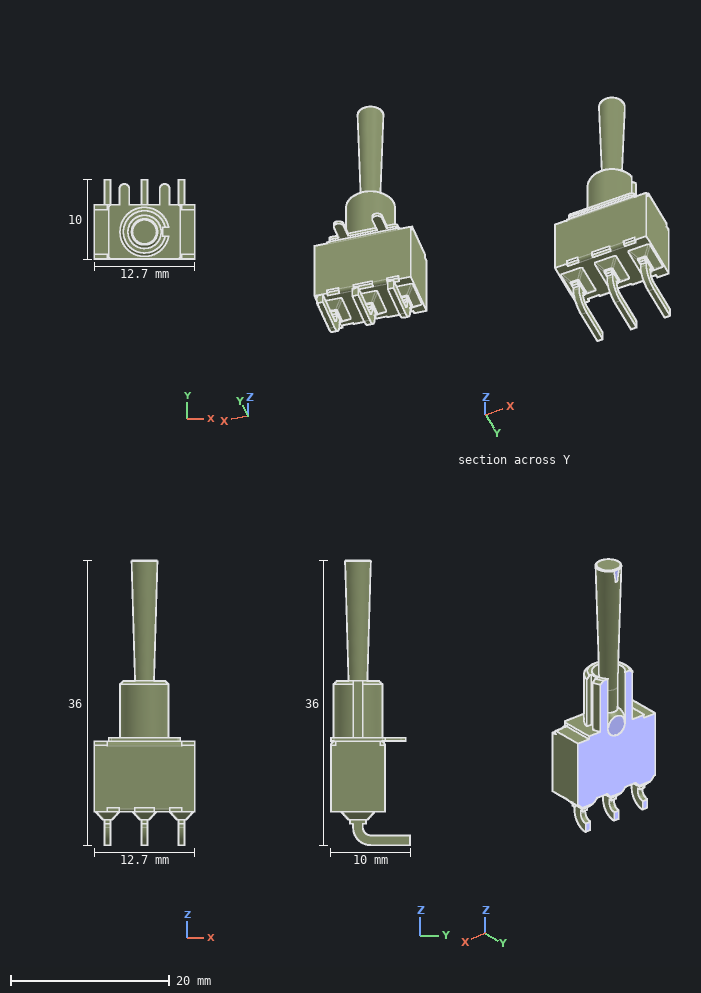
import cadquery as cq
import math


case_length = 12.7
case_width = 6.86
case_height = 8.94
front_y = -case_width / 2
back_y = case_width / 2

band_length = 9.45
band_thickness = 0.42
band_top_radius = 0.6
band_bottom_z = 0.54
tongue_width = 1.94
tongue_x = 2.22
tongue_fold_radius = band_thickness

end_step_width = 0.62
end_step_height = 0.53

plate_length = 9.04
plate_thickness = band_thickness
plate_corner_radius = 0.35
plate_top_z = case_height + plate_thickness
tab_width = 1.27
tab_x = 2.54
tab_reach = 2.63

bushing_radius = 3.1
bushing_top_z = 16.53
bushing_chamfer = 0.43
keyway_width = 1.15
keyway_floor_x = 2.32

ball_radius = 4.2 / 2
ball_center_z = plate_top_z
neck_radius = 1.15
neck_top_z = ball_center_z + 5.0
tip_radius = 1.65
tip_chamfer = 0.13
lever_top_z = 31.74

terminal_pitch = 4.67
terminal_xs = [-terminal_pitch, 0, terminal_pitch]
terminal_width = 0.78
terminal_depth = 1.26
terminal_bottom_z = -4.22
overall_width = 10.03
terminal_end_y = front_y + overall_width
bend_inner_radius = 1.0
bend_outer_radius = bend_inner_radius + terminal_depth
shoulder_depth = 2.06
shoulder_bottom_z = -1.52

seal_height = 1.0
seal_length = 3.0
seal_width = 4.25
seal_inset = 0.9
seal_corner_radius = 0.2


def centered_block(length, width, bottom_z, top_z, x=0, y=0):
    """Upright block centred on (x, y) between two heights."""
    block = cq.Workplane("XY").box(length, width, top_z - bottom_z, centered=(True, True, False))
    return block.translate((x, y, bottom_z))


def make_case_end(side):
    """One plastic end of the case, stepped along its top long edges; side is -1 or 1."""
    end_length = (case_length - band_length) / 2
    end_x = side * (band_length + end_length) / 2
    step_z = case_height - end_step_height
    lower = centered_block(end_length, case_width, 0, step_z, end_x)
    upper = centered_block(end_length, case_width - 2 * end_step_width, step_z, case_height, end_x)
    return lower.union(upper)


def make_case_middle():
    """Core of the case with the metal band over it and the band's tongues folded underneath."""
    core = centered_block(band_length, case_width - 2 * band_thickness, 0, band_bottom_z)
    band = centered_block(band_length, case_width, band_bottom_z, case_height)
    band = band.edges("|X and >Z").fillet(band_top_radius)
    middle = core.union(band)
    for x in (-tongue_x, tongue_x):
        tongue = centered_block(tongue_width, case_width, 0, band_bottom_z, x)
        middle = middle.union(tongue.edges("|X and <Z").fillet(tongue_fold_radius))
    return middle


def make_plate():
    """Mounting plate with two round-ended tabs reaching out at the back."""
    plate = centered_block(plate_length, case_width, case_height, plate_top_z)
    plate = plate.edges("|Z").fillet(plate_corner_radius)
    tab_tip_y = back_y + tab_reach
    tip_center_y = tab_tip_y - tab_width / 2
    for x in (-tab_x, tab_x):
        strip = centered_block(tab_width, tip_center_y, case_height, plate_top_z, x, tip_center_y / 2)
        tip = cq.Workplane("XY").circle(tab_width / 2).extrude(plate_thickness)
        tip = tip.translate((x, tip_center_y, case_height))
        plate = plate.union(strip).union(tip)
    return plate


def make_bushing():
    """Chamfered bushing with a keyway along its +X side."""
    height = bushing_top_z - plate_top_z
    bushing = cq.Workplane("XY").workplane(offset=plate_top_z).circle(bushing_radius).extrude(height)
    bushing = bushing.faces(">Z").chamfer(bushing_chamfer)
    keyway_length = bushing_radius
    keyway_x = keyway_floor_x + keyway_length / 2
    return bushing.cut(centered_block(keyway_length, keyway_width, plate_top_z, bushing_top_z, keyway_x))


def make_lever_socket():
    """Round-bottomed bore that holds the lever ball and opens at the top of the bushing."""
    ball = cq.Workplane("XY").sphere(ball_radius).translate((0, 0, ball_center_z))
    bore = cq.Workplane("XY").workplane(offset=ball_center_z).circle(ball_radius)
    return bore.extrude(bushing_top_z - ball_center_z).union(ball)


def make_terminal():
    """Terminal at X = 0: a shouldered leg that bends back to a horizontal end."""
    half_depth = terminal_depth / 2
    bend_center_y = half_depth + bend_inner_radius
    bend_center_z = terminal_bottom_z + bend_outer_radius
    diagonal = math.sqrt(0.5)
    leg = (
        cq.Workplane("YZ")
        .moveTo(-half_depth, 0)
        .lineTo(-half_depth, bend_center_z)
        .threePointArc(
            (bend_center_y - bend_outer_radius * diagonal, bend_center_z - bend_outer_radius * diagonal),
            (bend_center_y, terminal_bottom_z),
        )
        .lineTo(terminal_end_y, terminal_bottom_z)
        .lineTo(terminal_end_y, terminal_bottom_z + terminal_depth)
        .lineTo(bend_center_y, terminal_bottom_z + terminal_depth)
        .threePointArc(
            (bend_center_y - bend_inner_radius * diagonal, bend_center_z - bend_inner_radius * diagonal),
            (half_depth, bend_center_z),
        )
        .lineTo(half_depth, 0)
        .close()
        .extrude(terminal_width / 2, both=True)
    )
    shoulder = centered_block(terminal_width, shoulder_depth, shoulder_bottom_z, 0)
    return leg.union(shoulder).union(make_seal())


def make_seal():
    """Frustum with rounded corners, narrowing downward from the case underside."""
    def outline(inset):
        sketch = cq.Sketch().rect(seal_length - 2 * inset, seal_width - 2 * inset)
        return sketch.vertices().fillet(seal_corner_radius)

    wide_end = outline(0)
    narrow_end = outline(seal_inset).moved(cq.Location(cq.Vector(0, 0, -seal_height)))
    return cq.Workplane("XY").placeSketch(wide_end, narrow_end).loft()


def make_switch_body():
    """Case, plate, bushing and terminals as one solid."""
    body = make_case_middle().union(make_plate()).union(make_bushing())
    for side in (-1, 1):
        body = body.union(make_case_end(side))
    for x in terminal_xs:
        body = body.union(make_terminal().translate((x, 0, 0)))
    return body.cut(make_lever_socket())


def make_lever():
    """Ball pivot and straight neck with a handle that flares toward its chamfered tip."""
    handle = (
        cq.Workplane("XZ")
        .moveTo(0, ball_center_z)
        .lineTo(neck_radius, ball_center_z)
        .lineTo(neck_radius, neck_top_z)
        .lineTo(tip_radius, lever_top_z - tip_chamfer)
        .lineTo(tip_radius - tip_chamfer, lever_top_z)
        .lineTo(0, lever_top_z)
        .close()
        .revolve(360, (0, 0, 0), (0, 1, 0))
    )
    ball = cq.Workplane("XY").sphere(ball_radius).translate((0, 0, ball_center_z))
    return handle.union(ball)


switch_body = make_switch_body()
lever = make_lever()

result = cq.Compound.makeCompound([switch_body.val(), lever.val()])